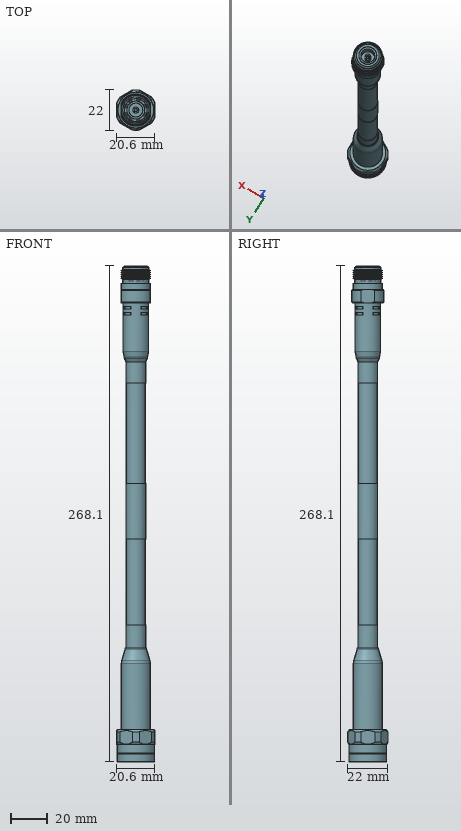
import cadquery as cq
import math

LENGTH = 268.1
NUT_TOP = 17.7
LOWER_SLEEVE_TOP = 74.0
LABEL_BOTTOM = 120.7
LABEL_TOP = 150.7
UPPER_SLEEVE_BOTTOM = 204.9
JACK_BOTTOM = 248.3

LABEL_RADIUS = 5.4
LABEL_THICKNESS = 0.15
CABLE_RADIUS = LABEL_RADIUS - LABEL_THICKNESS

FERRULE_RADIUS = 5.4

UPPER_SLEEVE_RADIUS = 7.0
UPPER_LIP_RADIUS = 6.5
UPPER_FERRULE_TOP = 216.5
UPPER_LIP_BOTTOM = 218.5
UPPER_LIP_TOP = 219.3
UPPER_TAPER_TOP = 222.0
SLOT_HEIGHT = 1.3
SLOT_DEPTH = 0.5
SLOT_SWEEP = 40
SLOTS_PER_ROW = 4
SLOT_LEVELS = (242.5, 245.5)

COLLAR_TOP = 255.5
COLLAR_DIAMETER = 17.5
COLLAR_RADIUS = COLLAR_DIAMETER / 2
COLLAR_ACROSS_FLATS = 15.8
COLLAR_CHAMFER = 0.5
BARREL_RADIUS = COLLAR_ACROSS_FLATS / 2
SHOULDER_TOP = 258.8
THREAD_DEPTH = 0.8
THREAD_ROOT_RADIUS = BARREL_RADIUS - THREAD_DEPTH
THREAD_BOTTOM = 261.0
THREAD_PITCH = 1.0
THREAD_TURNS = 5
RIM_RADIUS = 6.2
RIM_CHAMFER_HEIGHT = 0.8
BORE_RADIUS = 3.8
BORE_DEPTH = 8
MOUTH_RADIUS = 4.8
MOUTH_DEPTH = 0.8

CONTACT_RADIUS = 1.5
CONTACT_HEIGHT = 4.0
CONTACT_HOLE_RADIUS = 0.8
CONTACT_HOLE_DEPTH = 2.7

LOWER_SLEEVE_DIAMETER = 15.8
LOWER_SLEEVE_RADIUS = LOWER_SLEEVE_DIAMETER / 2
LOWER_LIP_RADIUS = 6.0
LOWER_LIP_TOP = 61.7
LOWER_LIP_HEIGHT = 0.8
LOWER_TAPER_BASE = 55.0
LOWER_EDGE_INSET = 0.3
LOWER_TAPER_RADIUS = LOWER_SLEEVE_RADIUS - LOWER_EDGE_INSET
LOWER_EDGE_BOTTOM = 53.4

SKIRT_RADIUS = 10.2
SKIRT_CHAMFER = 0.3
SKIRT_GROOVE_RADIUS = 10.0
SKIRT_GROOVE_BOTTOM = 4.3
SKIRT_GROOVE_TOP = 4.8
HEX_SIDES = 6
HEX_ACROSS_FLATS = 20.6
HEX_CORNER_RADIUS = 11.0
HEX_CHAMFER_RADIUS = 9.7
HEX_CHAMFER_HEIGHT = 1.3
HEX_BOTTOM = 9.5


def revolve(profile):
    """Solid of revolution about Z from (radius, height) points."""
    return cq.Workplane("XZ").polyline(profile).close().revolve(360, (0, 0), (0, 1))


def cylinder(radius, bottom, top):
    return cq.Workplane("XY").workplane(offset=bottom).circle(radius).extrude(top - bottom)


def make_cable():
    """Plain round cable running from one ferrule to the other."""
    return cylinder(CABLE_RADIUS, LOWER_SLEEVE_TOP, UPPER_SLEEVE_BOTTOM)


def make_label():
    """Thin tube around the middle of the cable."""
    tube = cylinder(LABEL_RADIUS, LABEL_BOTTOM, LABEL_TOP)
    return tube.cut(cylinder(CABLE_RADIUS, LABEL_BOTTOM, LABEL_TOP))


def make_slot(level, middle_angle):
    """Arc-shaped cutter that opens through the upper sleeve's surface."""
    arc = (
        cq.Workplane("XZ")
        .moveTo(UPPER_SLEEVE_RADIUS, level)
        .rect(2 * SLOT_DEPTH, SLOT_HEIGHT)
        .revolve(SLOT_SWEEP, (0, 0), (0, 1))
    )
    return arc.rotate((0, 0, 0), (0, 0, 1), middle_angle - SLOT_SWEEP / 2)


def make_upper_sleeve():
    """Sleeve with a ferrule below and two rows of shallow slots near its top."""
    sleeve = revolve([
        (0, UPPER_SLEEVE_BOTTOM),
        (FERRULE_RADIUS, UPPER_SLEEVE_BOTTOM),
        (FERRULE_RADIUS, UPPER_FERRULE_TOP),
        (UPPER_LIP_RADIUS, UPPER_LIP_BOTTOM),
        (UPPER_LIP_RADIUS, UPPER_LIP_TOP),
        (UPPER_SLEEVE_RADIUS, UPPER_TAPER_TOP),
        (UPPER_SLEEVE_RADIUS, JACK_BOTTOM),
        (0, JACK_BOTTOM),
    ])
    for level in SLOT_LEVELS:
        for i in range(SLOTS_PER_ROW):
            sleeve = sleeve.cut(make_slot(level, 360 / SLOTS_PER_ROW * (i + 0.5)))
    return sleeve


def make_collar():
    """Round collar cut by two flats that face -X and +X."""
    disc = cylinder(COLLAR_RADIUS, JACK_BOTTOM, COLLAR_TOP).faces("<Z or >Z").chamfer(COLLAR_CHAMFER)
    flats = cq.Workplane("XY").box(COLLAR_ACROSS_FLATS, 2 * COLLAR_RADIUS, 2 * LENGTH)
    return disc.intersect(flats)


def make_barrel():
    """Shoulder, ring-shaped threads and chamfered rim above the collar."""
    profile = [
        (0, COLLAR_TOP),
        (BARREL_RADIUS, COLLAR_TOP),
        (BARREL_RADIUS, SHOULDER_TOP),
        (THREAD_ROOT_RADIUS, SHOULDER_TOP),
    ]
    for turn in range(THREAD_TURNS):
        root = THREAD_BOTTOM + turn * THREAD_PITCH
        profile.append((THREAD_ROOT_RADIUS, root))
        profile.append((BARREL_RADIUS, root + THREAD_PITCH / 2))
    profile += [
        (THREAD_ROOT_RADIUS, THREAD_BOTTOM + THREAD_TURNS * THREAD_PITCH),
        (THREAD_ROOT_RADIUS, LENGTH - RIM_CHAMFER_HEIGHT),
        (RIM_RADIUS, LENGTH),
        (0, LENGTH),
    ]
    return revolve(profile)


def make_jack():
    """Collar and barrel in one piece, with a bore that widens at its mouth."""
    bore = cylinder(BORE_RADIUS, LENGTH - BORE_DEPTH, LENGTH)
    mouth = cylinder(MOUTH_RADIUS, LENGTH - MOUTH_DEPTH, LENGTH)
    return make_collar().union(make_barrel()).cut(bore).cut(mouth)


def make_contact():
    """Round post with a blind hole in its end."""
    bottom = LENGTH - BORE_DEPTH
    top = bottom + CONTACT_HEIGHT
    hole = cylinder(CONTACT_HOLE_RADIUS, top - CONTACT_HOLE_DEPTH, top)
    return cylinder(CONTACT_RADIUS, bottom, top).cut(hole)


def make_lower_sleeve():
    """Sleeve that tapers to a small lip and then to its ferrule."""
    return revolve([
        (0, NUT_TOP),
        (LOWER_SLEEVE_RADIUS, NUT_TOP),
        (LOWER_SLEEVE_RADIUS, LOWER_EDGE_BOTTOM),
        (LOWER_TAPER_RADIUS, LOWER_TAPER_BASE),
        (LOWER_LIP_RADIUS, LOWER_LIP_TOP - LOWER_LIP_HEIGHT),
        (LOWER_LIP_RADIUS, LOWER_LIP_TOP),
        (FERRULE_RADIUS, LOWER_LIP_TOP),
        (FERRULE_RADIUS, LOWER_SLEEVE_TOP),
        (0, LOWER_SLEEVE_TOP),
    ])


def make_nut():
    """Turned nut whose upper part is cut to a hexagon with flats facing -X and +X."""
    turned = revolve([
        (0, 0),
        (SKIRT_RADIUS - SKIRT_CHAMFER, 0),
        (SKIRT_RADIUS, SKIRT_CHAMFER),
        (SKIRT_RADIUS, SKIRT_GROOVE_BOTTOM),
        (SKIRT_GROOVE_RADIUS, SKIRT_GROOVE_BOTTOM),
        (SKIRT_GROOVE_RADIUS, SKIRT_GROOVE_TOP),
        (SKIRT_RADIUS, SKIRT_GROOVE_TOP),
        (SKIRT_RADIUS, HEX_BOTTOM),
        (HEX_CORNER_RADIUS, HEX_BOTTOM + HEX_CHAMFER_HEIGHT),
        (HEX_CORNER_RADIUS, NUT_TOP - HEX_CHAMFER_HEIGHT),
        (HEX_CHAMFER_RADIUS, NUT_TOP),
        (0, NUT_TOP),
    ])
    across_corners = HEX_ACROSS_FLATS / math.cos(math.pi / HEX_SIDES)
    hexagon = cq.Workplane("XY").polygon(HEX_SIDES, across_corners).extrude(NUT_TOP)
    return turned.intersect(hexagon.rotate((0, 0, 0), (0, 0, 1), 180 / HEX_SIDES))


jack = make_jack()
contact = make_contact()
upper_sleeve = make_upper_sleeve()
cable = make_cable()
label = make_label()
lower_sleeve = make_lower_sleeve()
nut = make_nut()

result = cq.Compound.makeCompound([
    jack.val(),
    contact.val(),
    upper_sleeve.val(),
    cable.val(),
    label.val(),
    lower_sleeve.val(),
    nut.val(),
])